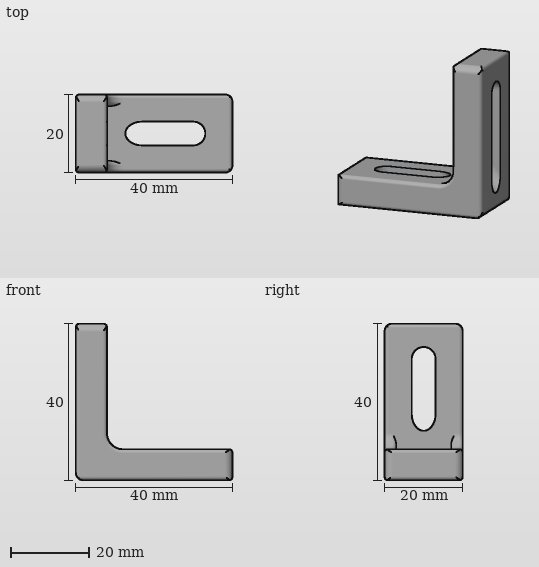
import cadquery as cq
import math

leg_length = 40.0
width = 20.0
thickness = 8.0
small_radius = 1.0
large_radius = 2.0

slot_width = 6.0
slot_radius = slot_width / 2
slot_start = 4.7
upright_slot_end = 34.0
base_slot_end = 33.0
slope_angle = 45.0

web_radius = 4.0
web_width = 3.0

SWAP_X_AND_Z = cq.Vector(1, 0, -1)


def make_leg():
    """Upright leg: three rounded profiles, one along each axis, intersected."""
    plan = (
        cq.Workplane("XY")
        .center(thickness / 2, 0)
        .rect(thickness, width)
        .extrude(leg_length)
        .edges("|Z")
        .fillet(small_radius)
    )
    face = (
        cq.Workplane("YZ")
        .center(0, leg_length / 2)
        .rect(width, leg_length)
        .extrude(thickness)
        .edges("|X and >Z")
        .fillet(large_radius)
        .edges("|X and <Z")
        .fillet(small_radius)
    )
    side = (
        cq.Workplane("XZ")
        .center(thickness / 2, leg_length / 2)
        .rect(thickness, leg_length)
        .extrude(width / 2, both=True)
        .edges("|Y and >Z")
        .fillet(small_radius)
        .edges("|Y and <Z and <X")
        .fillet(large_radius)
    )
    return plan.intersect(face).intersect(side)


def make_slot(slot_end):
    """Slot through the upright leg: round far end, sloped round near end."""
    slope = math.radians(slope_angle)
    outer_axis = slot_start + slot_radius / math.cos(slope)
    rise = thickness * math.tan(slope)
    end_axis = slot_end - slot_radius
    middle = (
        cq.Workplane("XZ")
        .polyline([
            (0, outer_axis),
            (thickness, outer_axis + rise),
            (thickness, end_axis),
            (0, end_axis),
        ])
        .close()
        .extrude(slot_radius, both=True)
    )
    far_end = cq.Workplane("YZ").center(0, end_axis).circle(slot_radius).extrude(thickness)

    slope_plane = cq.Plane(
        origin=(0, 0, outer_axis),
        xDir=(0, 1, 0),
        normal=(math.cos(slope), 0, math.sin(slope)),
    )
    bore = cq.Workplane(slope_plane).circle(slot_radius).extrude(2 * thickness, both=True)
    leg_space = cq.Workplane("YZ").rect(width, 2 * leg_length).extrude(thickness)
    near_end = bore.intersect(leg_space)
    return middle.union(far_end).union(near_end)


def make_web():
    """Concave corner web on the -Y side, with both rims of its arc rounded."""
    start = thickness - small_radius
    size = web_radius + small_radius
    y_side = -width / 2
    center = thickness + web_radius
    block = cq.Workplane("XY").box(size, web_width, size, centered=False)
    block = block.translate((start, y_side, start))

    rim = small_radius
    bend = rim * (1 - math.sqrt(0.5))
    hollow = (
        cq.Workplane("XY")
        .moveTo(0, 0)
        .lineTo(web_radius + rim, 0)
        .threePointArc((web_radius + bend, bend), (web_radius, rim))
        .lineTo(web_radius, web_width - rim)
        .threePointArc((web_radius + bend, web_width - bend), (web_radius + rim, web_width))
        .lineTo(0, web_width)
        .close()
        .revolve(360, (0, 0, 0), (0, 1, 0))
        .translate((center, y_side, center))
    )
    return block.cut(hollow)


upright = make_leg()
base = upright.mirror(SWAP_X_AND_Z)
web = make_web()

result = upright.union(base).union(web).union(web.mirror("XZ"))
result = result.cut(make_slot(upright_slot_end))
result = result.cut(make_slot(base_slot_end).mirror(SWAP_X_AND_Z))